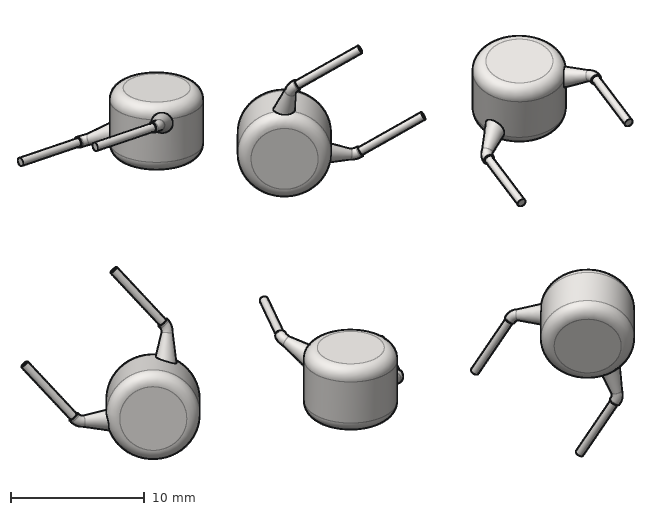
import cadquery as cq
import math


total_length = 12.94
housing_diameter = 7.0
housing_height = 5.5
rim_radius = 1.0
housing_radius = housing_diameter / 2

overall_width = 9.77
sleeve_diameter = 0.85
wire_diameter = 0.66
lead_offset_x = (overall_width - sleeve_diameter) / 2
lead_offset_z = 2.24
wire_end_y = housing_radius - total_length

sleeve_end_y = -3.92
collar_length = 0.13
bend_radius = 0.88
bend_angle = 48.0
bend_tilt = 26.0
cone_half_angle = 10.5
cone_length = 3.1
sleeve_radius = sleeve_diameter / 2

LEAD_TURNS = (0, 180)


def make_drum():
    base = cq.Workplane("XY", origin=(0, 0, -housing_height / 2))
    drum = base.circle(housing_radius).extrude(housing_height)
    return drum.edges("%CIRCLE").fillet(rim_radius)


def place_lead(shape, turn):
    """Move a shape built along the Y axis to the low lead, then turn it about Y."""
    low_lead = shape.translate((-lead_offset_x, 0, -lead_offset_z))
    return low_lead.rotate((0, 0, 0), (0, 1, 0), turn)


def make_sleeve(turn):
    """Collar and bend swept along one path, with the cone continuing from the bend."""
    angle = math.radians(bend_angle)
    bend_start_y = sleeve_end_y + collar_length

    def bend_point(along):
        x = bend_radius * (1 - math.cos(along))
        y = bend_start_y + bend_radius * math.sin(along)
        return x, y

    path = (
        cq.Workplane("XY")
        .moveTo(0, sleeve_end_y)
        .lineTo(0, bend_start_y)
        .threePointArc(bend_point(angle / 2), bend_point(angle))
    )
    tube = cq.Workplane("XZ", origin=(0, sleeve_end_y, 0)).circle(sleeve_radius).sweep(path)

    cone_end_radius = sleeve_radius + cone_length * math.tan(math.radians(cone_half_angle))
    cone = cq.Solid.makeCone(
        sleeve_radius,
        cone_end_radius,
        cone_length,
        pnt=cq.Vector(*bend_point(angle), 0),
        dir=cq.Vector(math.sin(angle), math.cos(angle), 0),
    )
    sleeve = tube.union(cq.Workplane(cone)).rotate((0, 0, 0), (0, 1, 0), -bend_tilt)
    return place_lead(sleeve, turn)


def make_housing():
    housing = make_drum()
    for turn in LEAD_TURNS:
        housing = housing.union(make_sleeve(turn))
    return housing.solids().val()


def make_wire(turn):
    """Straight round wire that butts against the end of its sleeve."""
    wire_length = sleeve_end_y - wire_end_y
    wire = cq.Workplane("XZ", origin=(0, sleeve_end_y, 0)).circle(wire_diameter / 2).extrude(wire_length)
    return place_lead(wire, turn).val()


housing = make_housing()
wires = [make_wire(turn) for turn in LEAD_TURNS]

result = cq.Compound.makeCompound([housing, *wires])